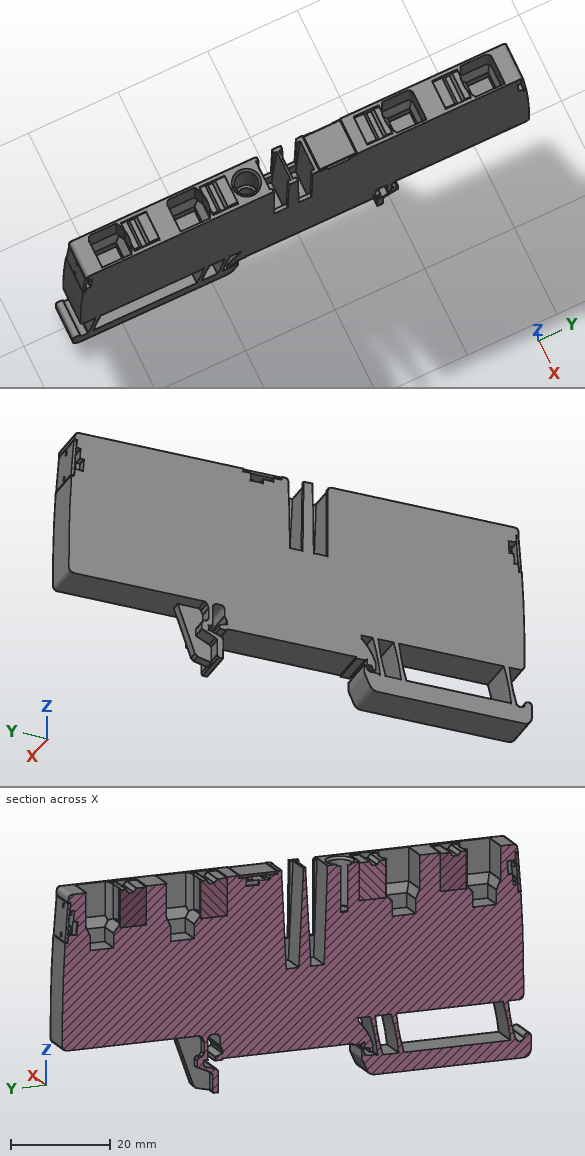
import cadquery as cq
import math

WIDTH = 8.1
TOP_Z = 45.2
BLOCK_BOTTOM_Z = 12.3
BLOCK_CENTER_Y = 0.8
BLOCK_HALF_LENGTH = 50.1
END_RADIUS = 295.1
END_BULGE_Z = 16.3
TOP_CORNER_RADIUS = 0.9
BOTTOM_CORNER_RADIUS = 1.1

SLOT_FLOOR_Z = 29.0
SLOT_EDGES = (
    (2.6, -0.7, 2.3, -0.5),
    (-2.6, -6.0, -3.0, -6.0),
)
SLOT_CORNER_RADIUS = 0.8
RECESS_WIDTH = 6.5
RECESS_FLOOR_Z = 24.4
RECESS_EDGES = (
    (3.3, -1.4, 2.2, -0.4),
    (-1.9, -6.6, -3.2, -5.9),
)

STATION_PITCH = 17.5
FIRST_STATIONS = ((20.8, 1), (19.2, -1))
MOUTH_HALF_WIDTH = 3.6
MOUTH_NEAR = 0.9
MOUTH_FAR = 7.4
MOUTH_BULGE = 1.1
MOUTH_CORNER_RADIUS = 1.0
MOUTH_DEPTH = 7.1
BORE_HALF_WIDTH = 2.3
BORE_NEAR = 1.5
BORE_FAR = 6.5
SHOULDER_DEPTH = 2.0
BORE_DEPTH = 3.1
LEVER_POCKET_WIDTH = 6.5
LEVER_WIDTH = 6.0
LEVER_LENGTH = 5.6
LEVER_DEPTH = 8.1
LEVER_DROP = 0.2
LEVER_SHIFT_X = {1: 0.0, -1: -0.15}
GROOVE_START = 1.2
GROOVE_LENGTH = 2.2
GROOVE_DEPTH = 0.8
GROOVE_WALL = 0.6

SOCKET_Y = -10.3
SOCKET_RIM_RADIUS = 3.0
SOCKET_RADIUS = 2.4
SOCKET_DEPTH = 10.2
SOCKET_HOLE_RADIUS = 1.8
SOCKET_HOLE_TIP_RADIUS = 1.4
SOCKET_HOLE_DEPTH = 3.1

MARKER_WIDTH = 7.6
MARKER_LENGTH = 8.1
MARKER_SEAT_LENGTH = 8.4
MARKER_THICKNESS = 0.6
TOP_MARKER_Y = 8.3
END_MARKER_Z = 39.3
MARKER_LEGS = ((1.4, 0.8), (-1.6, 0.5))
LEG_WIDTH = 3.1
LEG_DEPTH = 1.4
MARKER_SLOT_LENGTH = 4.9
MARKER_SLOT_DEPTH = 1.5
LATCH_POCKET_CENTER = 1.2
LATCH_POCKET_LENGTH = 2.7
LATCH_POCKET_DEPTH = 2.4
LATCH_POCKET_REACH = 2.0
NOTCH_WIDTH = 0.4
NOTCH_LENGTH = 0.8
NOTCH_DEPTH = 0.1
NOTCH_OFFSET = 3.1

BASE_Z = 7.0
FOOT_TOP_Z = 4.1
FOOT_LEFT_Y = -14.0
FOOT_TIP_Y = -50.9
FOOT_CORNER_RADIUS = 1.8
GUSSET_WIDTH = 2.0
RIB_TOPS_Y = (-15.9, -20.5, -44.7)
RIB_WIDTH = 1.2
RIB_LEAN = 1.6
RIB_MID_Z = 8.1
RIB_MID_LEANS = (1.0, 0.6)
CLIP_OUTER_EDGE = (
    (20.2, 8.5), (20.7, 7.9), (21.3, 7.8), (21.7, 7.3), (21.7, 5.8), (18.7, 4.4), (18.3, 4.0),
)
CLIP_INNER_Y = 19.2
BASE_EDGE_Y = 16.7
CLIP_ARCH_RADIUS = 0.9


def across(profile, width=WIDTH):
    """Extrude a closed YZ outline symmetrically in X."""
    return profile.extrude(width / 2, both=True)


def outline(points, width=WIDTH):
    return across(cq.Workplane("YZ").polyline(points).close(), width)


def box_between(y_min, y_max, z_min, z_max, width=WIDTH):
    return outline([(y_min, z_min), (y_max, z_min), (y_max, z_max), (y_min, z_max)], width)


def end_inset(z):
    """How far the bulged end face has drawn in at height z."""
    return END_RADIUS - math.sqrt(END_RADIUS**2 - (z - END_BULGE_Z) ** 2)


def end_y(z, side):
    return BLOCK_CENTER_Y + side * (BLOCK_HALF_LENGTH - end_inset(z))


def round_x_edges(body, places, radius):
    for y, z in places:
        body = body.edges(cq.selectors.NearestToPointSelector((0, y, z))).fillet(radius)
    return body


def tapered_slot(top_plus, top_minus, floor_plus, floor_minus, floor_z, width):
    return outline(
        [(top_plus, TOP_Z), (floor_plus, floor_z), (floor_minus, floor_z), (top_minus, TOP_Z)], width
    )


def block():
    body = across(
        cq.Workplane("YZ")
        .moveTo(end_y(BLOCK_BOTTOM_Z, 1), BLOCK_BOTTOM_Z)
        .threePointArc((end_y(END_BULGE_Z, 1), END_BULGE_Z), (end_y(TOP_Z, 1), TOP_Z))
        .lineTo(end_y(TOP_Z, -1), TOP_Z)
        .threePointArc((end_y(END_BULGE_Z, -1), END_BULGE_Z), (end_y(BLOCK_BOTTOM_Z, -1), BLOCK_BOTTOM_Z))
        .close()
    )
    for slot_edges in SLOT_EDGES:
        body = body.cut(tapered_slot(*slot_edges, SLOT_FLOOR_Z, WIDTH))
    body = round_x_edges(body, [(end_y(TOP_Z, side), TOP_Z) for side in (1, -1)], TOP_CORNER_RADIUS)
    body = round_x_edges(
        body, [(end_y(BLOCK_BOTTOM_Z, side), BLOCK_BOTTOM_Z) for side in (1, -1)], BOTTOM_CORNER_RADIUS
    )
    outer_slot_edges = [(SLOT_EDGES[0][0], TOP_Z), (SLOT_EDGES[1][1], TOP_Z)]
    body = round_x_edges(body, outer_slot_edges, SLOT_CORNER_RADIUS)
    for recess_edges in RECESS_EDGES:
        body = body.cut(tapered_slot(*recess_edges, RECESS_FLOOR_Z, RECESS_WIDTH))
    return body


def rail_base():
    """Block resting on the rail: a lip towards the clip and a hook on the other side."""
    return across(
        cq.Workplane("YZ")
        .moveTo(BASE_EDGE_Y, BLOCK_BOTTOM_Z)
        .lineTo(BASE_EDGE_Y, 9.9)
        .lineTo(16.1, 8.8)
        .lineTo(16.1, 8.1)
        .lineTo(17.7, 7.6)
        .lineTo(17.7, 6.7)
        .lineTo(16.3, 6.7)
        .lineTo(16.0, BASE_Z)
        .lineTo(-12.2, BASE_Z)
        .lineTo(-12.3, 6.7)
        .lineTo(-14.1, 6.7)
        .lineTo(-14.7, BASE_Z)
        .lineTo(-14.7, 5.8)
        .lineTo(-15.5, 5.8)
        .lineTo(-15.9, 5.5)
        .lineTo(-15.9, 4.9)
        .lineTo(-16.5, 4.9)
        .lineTo(-16.5, 6.7)
        .threePointArc((-15.6, 8.8), (-13.4, 11.6))
        .lineTo(-13.4, BLOCK_BOTTOM_Z)
        .close()
    )


def clip():
    """Full-width spring strip that grips the rail edge."""
    return outline([
        (21.1, BLOCK_BOTTOM_Z), (20.6, 11.9), (20.2, 11.0), *CLIP_OUTER_EDGE, (18.3, 0.5), (18.0, 0),
        (17.0, 0), (17.0, 4.6), (17.4, 5.0), (20.2, 5.9), (20.2, BASE_Z), (CLIP_INNER_Y, BASE_Z),
        (CLIP_INNER_Y, BLOCK_BOTTOM_Z),
    ])


def clip_arch():
    """Rounds the top corners of the gap between the clip and the base."""
    filler = box_between(BASE_EDGE_Y, CLIP_INNER_Y, BLOCK_BOTTOM_Z - CLIP_ARCH_RADIUS, BLOCK_BOTTOM_Z)
    gap = box_between(BASE_EDGE_Y, CLIP_INNER_Y, BASE_Z, BLOCK_BOTTOM_Z)
    return filler.cut(gap.edges("|X and >Z").fillet(CLIP_ARCH_RADIUS))


def gusset():
    """Thin web that stiffens the clip on its outer side."""
    return outline([
        (25.6, BLOCK_BOTTOM_Z), (21.9, 1.6), (21.3, 1.0), (19.5, 0.6), (18.2, 0.3),
        *reversed(CLIP_OUTER_EDGE), (20.2, BLOCK_BOTTOM_Z),
    ], GUSSET_WIDTH)


def rib(top_y):
    """Curved, slanted web between the block and the foot."""
    back_y = top_y - RIB_WIDTH
    front_lean, back_lean = RIB_MID_LEANS
    return across(
        cq.Workplane("YZ")
        .moveTo(top_y, BLOCK_BOTTOM_Z)
        .threePointArc((top_y - front_lean, RIB_MID_Z), (top_y - RIB_LEAN, FOOT_TOP_Z))
        .lineTo(back_y - RIB_LEAN, FOOT_TOP_Z)
        .threePointArc((back_y - back_lean, RIB_MID_Z), (back_y, BLOCK_BOTTOM_Z))
        .close()
    )


def foot():
    corner_mid = FOOT_CORNER_RADIUS * (1 - math.sqrt(0.5))
    return across(
        cq.Workplane("YZ")
        .moveTo(FOOT_LEFT_Y, 5.7)
        .lineTo(-14.6, 5.4)
        .threePointArc((-14.9, 4.6), (-15.6, 4.3))
        .lineTo(-17.1, 4.3)
        .lineTo(-17.5, FOOT_TOP_Z)
        .lineTo(-47.6, FOOT_TOP_Z)
        .threePointArc((-48.5, 3.7), (-49.3, 4.3))
        .threePointArc((-50.1, 5.2), (FOOT_TIP_Y, 4.5))
        .lineTo(FOOT_TIP_Y, FOOT_CORNER_RADIUS)
        .threePointArc((FOOT_TIP_Y + corner_mid, corner_mid), (FOOT_TIP_Y + FOOT_CORNER_RADIUS, 0))
        .lineTo(-16.8, 0)
        .threePointArc((-15.8, 0.4), (-15.2, 1.2))
        .lineTo(-14.2, 3.3)
        .threePointArc((-14.0, 3.9), (FOOT_LEFT_Y, 4.5))
        .close()
    )


def stations():
    """Lever edge and side of every wire station."""
    return [(edge + row * STATION_PITCH, side) for edge, side in FIRST_STATIONS for row in (0, 1)]


def mouth(edge, side, depth):
    """Straight-walled opening with a curved side towards the lever and one rounded far corner."""
    near_y = side * (edge + MOUTH_NEAR)
    far_y = side * (edge + MOUTH_FAR)
    corner_mid = MOUTH_CORNER_RADIUS * (1 - math.sqrt(0.5))
    return (
        cq.Workplane("XY", origin=(0, 0, TOP_Z - depth))
        .moveTo(-MOUTH_HALF_WIDTH, near_y)
        .threePointArc((0, near_y - side * MOUTH_BULGE), (MOUTH_HALF_WIDTH, near_y))
        .lineTo(MOUTH_HALF_WIDTH, far_y)
        .lineTo(MOUTH_CORNER_RADIUS - MOUTH_HALF_WIDTH, far_y)
        .threePointArc(
            (corner_mid - MOUTH_HALF_WIDTH, far_y - side * corner_mid),
            (-MOUTH_HALF_WIDTH, far_y - side * MOUTH_CORNER_RADIUS),
        )
        .close()
        .extrude(depth)
    )


def rectangle_on(plane, half_width, near_y, far_y):
    return plane.center(0, (near_y + far_y) / 2).rect(2 * half_width, abs(far_y - near_y))


def funnel(edge, side):
    """Wire entry: straight mouth, sloped shoulder, then a square bore."""
    shoulder_top = TOP_Z - MOUTH_DEPTH
    shoulder_bottom = shoulder_top - SHOULDER_DEPTH
    rim_y = (side * (edge + MOUTH_NEAR - MOUTH_BULGE), side * (edge + MOUTH_FAR))
    bore_y = (side * (edge + BORE_NEAR), side * (edge + BORE_FAR))
    rim = rectangle_on(cq.Workplane("XY", origin=(0, 0, shoulder_top)), MOUTH_HALF_WIDTH, *rim_y)
    lower = rim.workplane(offset=-SHOULDER_DEPTH, origin=(0, 0, 0))
    shoulder = rectangle_on(lower, BORE_HALF_WIDTH, *bore_y).loft(ruled=True)
    shoulder = shoulder.intersect(mouth(edge, side, MOUTH_DEPTH + SHOULDER_DEPTH))
    bore_floor = cq.Workplane("XY", origin=(0, 0, shoulder_bottom - BORE_DEPTH))
    bore = rectangle_on(bore_floor, BORE_HALF_WIDTH, *bore_y).extrude(BORE_DEPTH)
    return mouth(edge, side, MOUTH_DEPTH).union(shoulder).union(bore)


def lever_pocket(edge, side):
    inner = edge - LEVER_LENGTH
    return box_between(side * inner, side * edge, TOP_Z - LEVER_DEPTH, TOP_Z, LEVER_POCKET_WIDTH)


def lever(edge, side):
    """Release lever with a screwdriver groove across its top."""
    top = TOP_Z - LEVER_DROP
    bottom = TOP_Z - LEVER_DEPTH
    groove_near = edge - GROOVE_START
    groove_far = groove_near - GROOVE_LENGTH
    profile = [
        (edge, bottom), (edge, top), (groove_near, top), (groove_near - GROOVE_WALL, top - GROOVE_DEPTH),
        (groove_far + GROOVE_WALL, top - GROOVE_DEPTH), (groove_far, top),
        (edge - LEVER_LENGTH, top), (edge - LEVER_LENGTH, bottom),
    ]
    body = outline([(side * distance, z) for distance, z in profile], LEVER_WIDTH)
    return body.translate((LEVER_SHIFT_X[side], 0, 0)).cut(funnel(edge, side))


def socket():
    """Stepped test socket, open at the top."""
    rim = SOCKET_RIM_RADIUS - SOCKET_RADIUS
    hole_top = TOP_Z - SOCKET_DEPTH
    profile = [
        (0, TOP_Z), (SOCKET_RIM_RADIUS, TOP_Z), (SOCKET_RADIUS, TOP_Z - rim), (SOCKET_RADIUS, hole_top),
        (SOCKET_HOLE_RADIUS, hole_top), (SOCKET_HOLE_TIP_RADIUS, hole_top - SOCKET_HOLE_DEPTH),
        (0, hole_top - SOCKET_HOLE_DEPTH),
    ]
    body = cq.Workplane("XZ").polyline(profile).close().revolve(360, (0, 0), (0, 1))
    return body.translate((0, SOCKET_Y, 0))


def marker():
    """Plate with its face at Z = 0 and two legs beneath."""
    body = box_between(-MARKER_LENGTH / 2, MARKER_LENGTH / 2, -MARKER_THICKNESS, 0, MARKER_WIDTH)
    for center, thickness in MARKER_LEGS:
        body = body.union(box_between(
            center - thickness / 2, center + thickness / 2, -LEG_DEPTH, -MARKER_THICKNESS, LEG_WIDTH
        ))
    return body


def notched_marker():
    body = marker()
    for y in (NOTCH_OFFSET, -NOTCH_OFFSET):
        body = body.cut(box_between(y - NOTCH_LENGTH / 2, y + NOTCH_LENGTH / 2, -NOTCH_DEPTH, 0, NOTCH_WIDTH))
    return body


def marker_seat():
    """Space for one marker: plate recess, leg slot and blind latch pocket."""
    headroom = 1.0
    plate = box_between(-MARKER_SEAT_LENGTH / 2, MARKER_SEAT_LENGTH / 2, -MARKER_THICKNESS, headroom)
    slot = box_between(-MARKER_SLOT_LENGTH / 2, MARKER_SLOT_LENGTH / 2, -MARKER_SLOT_DEPTH, 0)
    latch = box_between(
        LATCH_POCKET_CENTER - LATCH_POCKET_LENGTH / 2,
        LATCH_POCKET_CENTER + LATCH_POCKET_LENGTH / 2,
        -LATCH_POCKET_DEPTH, 0, LATCH_POCKET_REACH,
    ).translate(((LATCH_POCKET_REACH - WIDTH) / 2, 0, 0))
    return plate.union(slot).union(latch)


def place_on_top(body):
    return body.translate((0, TOP_MARKER_Y, TOP_Z))


def place_on_end(body, side):
    """Turn a marker or seat flat against one bulged end face."""
    slope = math.degrees(math.asin((END_MARKER_Z - END_BULGE_Z) / END_RADIUS))
    turned = body.rotate((0, 0, 0), (1, 0, 0), -side * (90 - slope))
    return turned.translate((0, end_y(END_MARKER_Z, side), END_MARKER_Z))


def housing():
    body = block().union(rail_base()).union(clip()).union(clip_arch()).union(gusset())
    for top_y in RIB_TOPS_Y:
        body = body.union(rib(top_y))
    body = body.union(foot())
    for edge, side in stations():
        body = body.cut(lever_pocket(edge, side)).cut(funnel(edge, side))
    body = body.cut(socket()).cut(place_on_top(marker_seat()))
    for side in (1, -1):
        body = body.cut(place_on_end(marker_seat(), side))
    return body


levers = [lever(edge, side) for edge, side in stations()]
markers = [place_on_top(marker())] + [place_on_end(notched_marker(), side) for side in (1, -1)]

result = cq.Compound.makeCompound(
    [housing().val()] + [body.val() for body in levers] + [body.val() for body in markers]
)